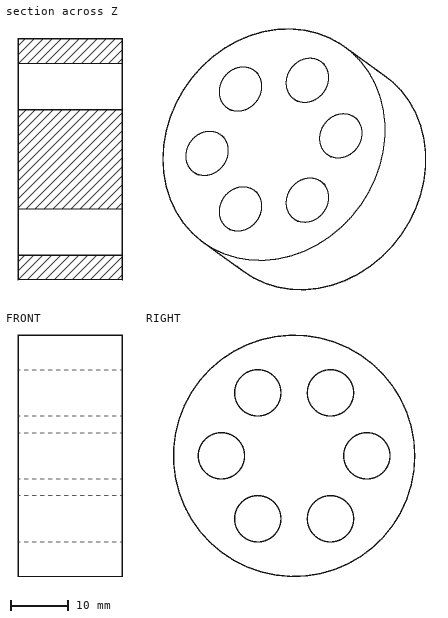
import cadquery as cq

disc_diameter = 41.8
disc_thickness = 18.0

hole_count = 6
hole_diameter = 8.0
hole_circle_radius = 12.6


def make_disc():
    disc = cq.Workplane("YZ").circle(disc_diameter / 2)
    return disc.extrude(disc_thickness)


def make_holes():
    centres = cq.Workplane("YZ").polarArray(hole_circle_radius, 0, 360, hole_count)
    return centres.circle(hole_diameter / 2).extrude(disc_thickness)


result = make_disc().cut(make_holes())